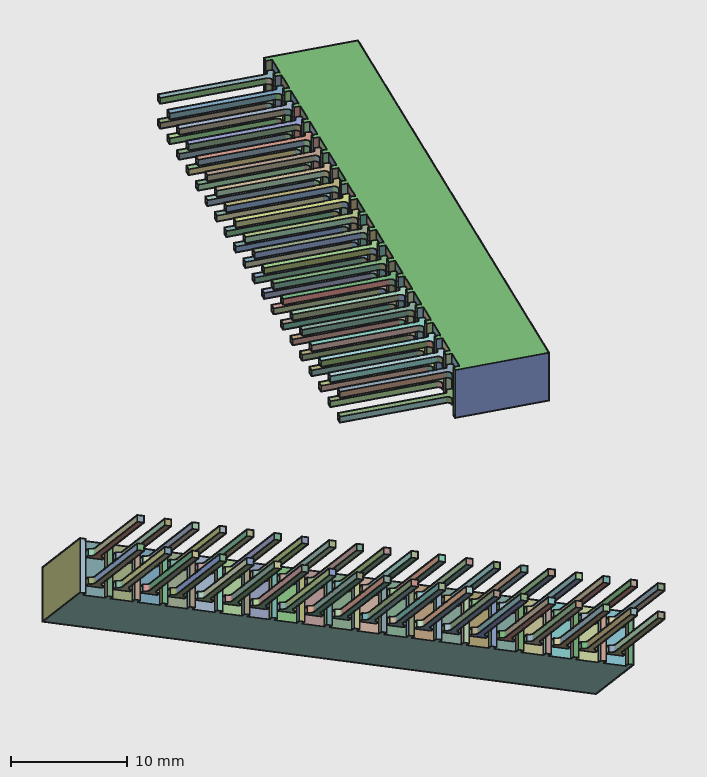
import cadquery as cq
import math

columns = 20
rows = 2
housing_length = 51.3
housing_depth = 8.5
housing_height = 4.95
wall = 0.5
pitch = (housing_length - wall) / columns
bay_width = pitch - wall
bay_depth = 0.55

overall_depth = 18.5
row_spacing = 2.55
pin_size = 0.6
shoulder_width = 1.55
fillet_radius = 0.385

tip_y = -overall_depth / 2
housing_back_y = overall_depth / 2
housing_front_y = housing_back_y - housing_depth
stem_length = housing_front_y - tip_y


def centred_positions(count, spacing):
    """Evenly spaced coordinates, symmetric about zero."""
    return [(i - (count - 1) / 2) * spacing for i in range(count)]


column_centres = centred_positions(columns, pitch)
row_centres = centred_positions(rows, row_spacing)


def make_boxes(centres_x, center_y, size_x, size_y, size_z):
    """Equal boxes, one at each X position, centred on Z = 0."""
    return (
        cq.Workplane("XY", origin=(0, center_y, 0))
        .pushPoints([(x, 0) for x in centres_x])
        .box(size_x, size_y, size_z)
    )


def make_housing():
    """Solid bar with bays cut through its full height along the pin side."""
    bar_y = housing_back_y - housing_depth / 2
    bay_y = housing_front_y + bay_depth / 2
    bar = make_boxes([0], bar_y, housing_length, housing_depth, housing_height)
    bays = make_boxes(column_centres, bay_y, bay_width, bay_depth, housing_height)
    return bar.cut(bays)


def make_corner_fill(column_x, side):
    """Concave fillet between the front of a shoulder and one flank of its stem."""
    corner_x = column_x + side * pin_size / 2
    outer_x = corner_x + side * fillet_radius
    arc_offset = fillet_radius * (1 - math.sqrt(0.5))
    arc_middle = (corner_x + side * arc_offset, housing_front_y - arc_offset)
    arc_end = (corner_x, housing_front_y - fillet_radius)
    return (
        cq.Workplane("XY", origin=(0, 0, -pin_size / 2))
        .moveTo(corner_x, housing_front_y)
        .lineTo(outer_x, housing_front_y)
        .threePointArc(arc_middle, arc_end)
        .close()
        .extrude(pin_size)
    )


def make_pin_row():
    """One row of pins at Z = 0: shoulders, stems and the fillets between them."""
    shoulder_y = housing_front_y + bay_depth / 2
    stem_y = tip_y + stem_length / 2
    row = make_boxes(column_centres, shoulder_y, shoulder_width, bay_depth, pin_size)
    row = row.union(make_boxes(column_centres, stem_y, pin_size, stem_length, pin_size))
    for column_x in column_centres:
        for side in (-1, 1):
            row = row.union(make_corner_fill(column_x, side))
    return row


pin_row = make_pin_row()
result = make_housing()
for row_z in row_centres:
    result = result.union(pin_row.translate((0, 0, row_z)))